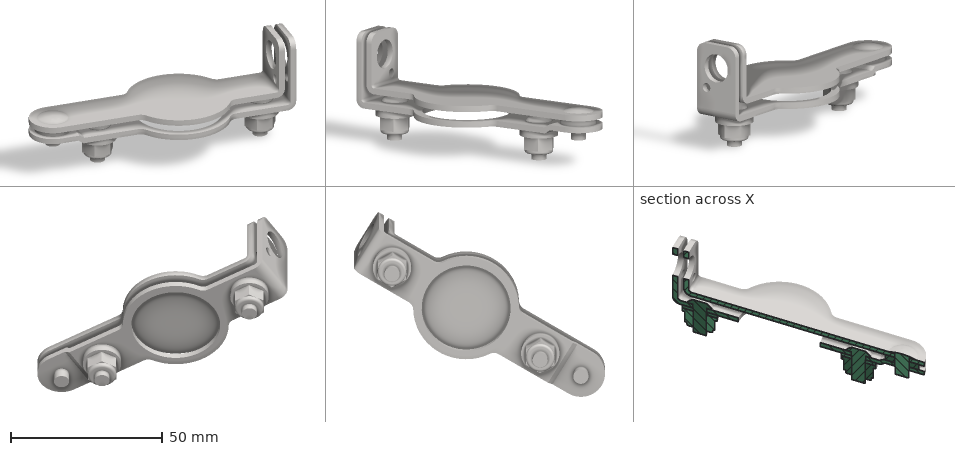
import cadquery as cq
import math


SHEET = 2.0
ARM_HALF_WIDTH = 8.0
DISC_RADIUS = 17.5
NECK_FILLET = 3.0
PIVOT_Y = -44.3
LOWER_TAB_Y = 38.5
UPPER_TAB_Y = LOWER_TAB_Y - 2 * SHEET
UPPER_PLATE_Z = 5.3
TAB_TOP_Z = 25.4
TAB_CORNER_RADIUS = 3.3
BEND_RADIUS = 1.0
RING_HOLE_RADIUS = 14.7

PIVOT_RAISE = 1.3
RAISED_SHEET = 1.8
JOG_START_Y = -36.05
JOG_RUN = 1.7
JOG_UNDERSIDE_SHIFT = 0.4

LOCK_HOLE_RADIUS = 4.8
LOCK_HOLE_Z = TAB_TOP_Z - ARM_HALF_WIDTH
PIN_HOLE_RADIUS = 1.5
PIN_HOLE_X = 4.0
PIN_HOLE_Z = 10.3

SHANK_RADIUS = 5.0 / 2
SPACER_RADIUS = 6.2
RIVET_HEAD_RADIUS = 5.2
RIVET_HEAD_HEIGHT = 0.8
RIVET_END_Z = -2.4

BOLT_SPACING = 57.2
BOLT_YS = (-BOLT_SPACING / 2, BOLT_SPACING / 2)
BOLT_HEAD_RADIUS = 4.45
BOLT_HEAD_HEIGHT = 2.2
BOLT_HEAD_RIM = 0.3
BOLT_HEAD_FLAT_RADIUS = 2.4
BOLT_END_Z = -10.9
WASHER_RADIUS = 6.4
WASHER_THICKNESS = 1.4
FLANGE_THICKNESS = 1.4
NUT_ACROSS_FLATS = 9.4
HEX_HEIGHT = 4.6
COLLAR_HEIGHT = 1.4
COLLAR_FILLET = 0.8


def disc(radius, bottom, top, y=0.0):
    """Upright cylinder on the Y axis line between two heights."""
    return cq.Workplane("XY", origin=(0, y, bottom)).circle(radius).extrude(top - bottom)


def plan_prism(tab_y):
    """Tall prism with the plan outline of a plate: arms, disc and rounded pivot end."""
    arm_length = tab_y - PIVOT_Y
    arms = (
        cq.Workplane("XY")
        .center(0, (tab_y + PIVOT_Y) / 2)
        .rect(2 * ARM_HALF_WIDTH, arm_length)
        .extrude(TAB_TOP_Z)
    )
    outline = arms.union(disc(DISC_RADIUS, 0, TAB_TOP_Z))
    neck_zone = cq.selectors.BoxSelector(
        (-ARM_HALF_WIDTH - NECK_FILLET, -DISC_RADIUS, 0),
        (ARM_HALF_WIDTH + NECK_FILLET, DISC_RADIUS, TAB_TOP_Z),
    )
    outline = outline.edges("|Z").edges(neck_zone).fillet(NECK_FILLET)
    return outline.union(disc(ARM_HALF_WIDTH, 0, TAB_TOP_Z, PIVOT_Y))


def tab_holes():
    """Cutter for the two holes that pass through both tabs."""
    lock_hole = cq.Workplane("XZ").center(0, LOCK_HOLE_Z).circle(LOCK_HOLE_RADIUS)
    pin_hole = cq.Workplane("XZ").center(PIN_HOLE_X, PIN_HOLE_Z).circle(PIN_HOLE_RADIUS)
    return lock_hole.extrude(-LOWER_TAB_Y).union(pin_hole.extrude(-LOWER_TAB_Y))


def bent_plate(tab_y, bottom, pivot_end):
    """Bent sheet plate; pivot_end lists the (y, z) profile points of its pivot end, top to bottom."""
    top = bottom + SHEET
    profile = [
        (tab_y, bottom),
        (tab_y, TAB_TOP_Z),
        (tab_y - SHEET, TAB_TOP_Z),
        (tab_y - SHEET, top),
        *pivot_end,
    ]
    sheet = cq.Workplane("YZ").polyline(profile).close().extrude(DISC_RADIUS, both=True)
    inside_bend = cq.selectors.NearestToPointSelector((0, tab_y - SHEET, top))
    outside_bend = cq.selectors.NearestToPointSelector((0, tab_y, bottom))
    sheet = sheet.edges("|X").edges(inside_bend).fillet(BEND_RADIUS)
    sheet = sheet.edges("|X").edges(outside_bend).fillet(BEND_RADIUS + SHEET)
    plate = sheet.intersect(plan_prism(tab_y))
    plate = plate.faces(">Z").edges("|Y").fillet(TAB_CORNER_RADIUS)
    pivot_hole = disc(SHANK_RADIUS, 0, TAB_TOP_Z, PIVOT_Y)
    return plate.cut(tab_holes()).cut(pivot_hole)


def make_upper_plate():
    """Flat plate with a plain disc."""
    end_y = PIVOT_Y - ARM_HALF_WIDTH
    pivot_end = [(end_y, UPPER_PLATE_Z + SHEET), (end_y, UPPER_PLATE_Z)]
    return bent_plate(UPPER_TAB_Y, UPPER_PLATE_Z, pivot_end)


def make_lower_plate():
    """Plate with a raised pivot end, an open ring and two bolt holes."""
    end_y = PIVOT_Y - ARM_HALF_WIDTH
    underside_y = JOG_START_Y - JOG_UNDERSIDE_SHIFT
    pivot_end = [
        (JOG_START_Y, SHEET),
        (JOG_START_Y - JOG_RUN, PIVOT_RAISE + RAISED_SHEET),
        (end_y, PIVOT_RAISE + RAISED_SHEET),
        (end_y, PIVOT_RAISE),
        (underside_y - JOG_RUN, PIVOT_RAISE),
        (underside_y, 0),
    ]
    plate = bent_plate(LOWER_TAB_Y, 0, pivot_end)
    plate = plate.cut(disc(RING_HOLE_RADIUS, 0, SHEET))
    for y in BOLT_YS:
        plate = plate.cut(disc(SHANK_RADIUS, 0, SHEET, y))
    return plate


def make_spacer():
    """Ring that keeps the plates apart at the pivot."""
    bottom = PIVOT_RAISE + RAISED_SHEET
    ring = disc(SPACER_RADIUS, bottom, UPPER_PLATE_Z, PIVOT_Y)
    return ring.cut(disc(SHANK_RADIUS, bottom, UPPER_PLATE_Z, PIVOT_Y))


def domed_pin(y, seat_z, end_z, head_radius, head_height, rim_height, flat_radius):
    """Pin whose head sits on seat_z: straight rim, spherical dome and flat. Rim and flat may be 0."""
    rim_z = seat_z + rim_height
    top_z = seat_z + head_height
    dome_height = head_height - rim_height
    centre = (dome_height**2 + flat_radius**2 - head_radius**2) / (2 * dome_height)
    sphere_radius = math.hypot(head_radius, centre)
    middle_height = dome_height / 2
    middle_radius = math.sqrt(sphere_radius**2 - (middle_height - centre) ** 2)
    half_section = (
        cq.Workplane("XZ", origin=(0, y, 0))
        .moveTo(0, end_z)
        .lineTo(SHANK_RADIUS, end_z)
        .lineTo(SHANK_RADIUS, seat_z)
        .lineTo(head_radius, seat_z)
    )
    if rim_height > 0:
        half_section = half_section.lineTo(head_radius, rim_z)
    half_section = half_section.threePointArc((middle_radius, rim_z + middle_height), (flat_radius, top_z))
    if flat_radius > 0:
        half_section = half_section.lineTo(0, top_z)
    return half_section.close().revolve(360, (0, 0, 0), (0, 1, 0))


def make_rivet():
    """Pivot rivet with a low domed head on the upper plate."""
    return domed_pin(
        PIVOT_Y,
        seat_z=UPPER_PLATE_Z + SHEET,
        end_z=RIVET_END_Z,
        head_radius=RIVET_HEAD_RADIUS,
        head_height=RIVET_HEAD_HEIGHT,
        rim_height=0,
        flat_radius=0,
    )


def make_bolt(y):
    """Button-head bolt seated on the lower plate."""
    return domed_pin(
        y,
        seat_z=SHEET,
        end_z=BOLT_END_Z,
        head_radius=BOLT_HEAD_RADIUS,
        head_height=BOLT_HEAD_HEIGHT,
        rim_height=BOLT_HEAD_RIM,
        flat_radius=BOLT_HEAD_FLAT_RADIUS,
    )


def make_washer(y):
    """Washer under the lower plate."""
    washer = disc(WASHER_RADIUS, -WASHER_THICKNESS, 0, y)
    return washer.cut(disc(SHANK_RADIUS, -WASHER_THICKNESS, 0, y))


def make_nut(y):
    """Flange nut with a round collar at its free end; two hexagon corners lie along Y."""
    hex_top = -WASHER_THICKNESS - FLANGE_THICKNESS
    hex_bottom = hex_top - HEX_HEIGHT
    collar_bottom = hex_bottom - COLLAR_HEIGHT
    corner_diameter = NUT_ACROSS_FLATS / math.cos(math.pi / 6)
    flange = disc(WASHER_RADIUS, hex_top, -WASHER_THICKNESS, y)
    hexagon = (
        cq.Workplane("XY", origin=(0, y, hex_bottom))
        .transformed(rotate=(0, 0, 90))
        .polygon(6, corner_diameter)
        .extrude(HEX_HEIGHT)
    )
    collar = disc(NUT_ACROSS_FLATS / 2, collar_bottom, hex_bottom, y)
    collar = collar.faces("<Z").edges().fillet(COLLAR_FILLET)
    bore = disc(SHANK_RADIUS, collar_bottom, -WASHER_THICKNESS, y)
    return flange.union(hexagon).union(collar).cut(bore)


upper_plate = make_upper_plate()
lower_plate = make_lower_plate()
spacer = make_spacer()
rivet = make_rivet()
bolts = [make_bolt(y) for y in BOLT_YS]
washers = [make_washer(y) for y in BOLT_YS]
nuts = [make_nut(y) for y in BOLT_YS]

result = cq.Compound.makeCompound([
    upper_plate.val(),
    lower_plate.val(),
    spacer.val(),
    rivet.val(),
    *[bolt.val() for bolt in bolts],
    *[washer.val() for washer in washers],
    *[nut.val() for nut in nuts],
])